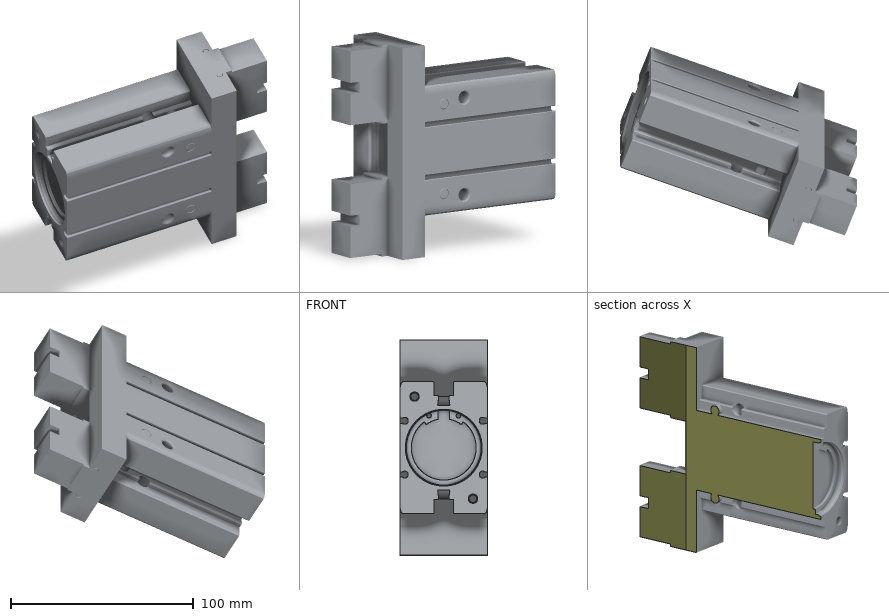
import cadquery as cq
import math


WIDTH = 48.0
BODY_HEIGHT = 72.3
BODY_LENGTH = 86.4
HEAD_HEIGHT = 118.0
HEAD_LENGTH = 15.0
HEAD_BACK = BODY_LENGTH + HEAD_LENGTH
TOTAL_LENGTH = 125.9

SHOULDER_RADIUS = 10.0
SHOULDER_HEIGHT = 4.5
EDGE_CHAMFER = 0.9

MOUTH_WIDTH = 10.6
MOUTH_DEPTH = 7.7
MOUTH_CHAMFER = 0.5
NECK_WIDTH = 5.5
NECK_CHAMFER = 0.5
NECK_DEPTH = 2.5
POCKET_WIDTH = 6.4
SLOT_DEPTH = 13.1

GROOVE_Z = 14.7
GROOVE_DIAMETER = 3.8
GROOVE_DEPTH = 4.5
GROOVE_MOUTH = 2.8
GROOVE_CHAMFER = 0.3

MOUNT_HOLE_DIAMETER = 6.7
MOUNT_HOLE_CHAMFER = 0.6
MOUNT_HOLE_Y = 60.4
MOUNT_HOLE_Z = 27.1
PIN_DIAMETER = 6.0
PIN_Y = 73.8
PIN_Z = 25.0
PIN_CHAMFER = 0.4
PORT_DIAMETER = 4.2
PORT_CHAMFER = 0.44
PORT_DEPTH = 10.1
PORT_X = 16.0
PORT_Z = 28.0

BORE_DIAMETER = 41.0
BORE_CHAMFER = 0.5
BORE_LIP_DEPTH = 1.1
BORE_DEPTH = 5.7
RING_THICKNESS = 1.8
RING_INNER_DIAMETER = 35.5
RING_GAP = 6.2
LUG_INNER_DIAMETER = 31.7
LUG_END_ANGLE = 37.0
LUG_HOLE_DIAMETER = 2.5
LUG_HOLE_X = 8.0
LUG_HOLE_Z = 17.5

JAW_WIDTH = 18.4
CHANNEL_DEPTH = 7.3
BASE_LENGTH = 44.0
BASE_SHOULDER_Y = 104.9
FINGER_INSET = 1.4
NOTCH_SIZE = 6.0
RIDGE_Y = 97.6
RIDGE_DIAMETER = 3.1
GUIDE_DIAMETER = 3.8

CHANNEL_FLOOR = HEAD_BACK - CHANNEL_DEPTH
JAW_Z = (HEAD_HEIGHT - BASE_LENGTH) / 2
SIDES = (-1, 1)


def box_between(x_range, y_range, z_range):
    """Axis-aligned box given by its limits on each axis."""
    sizes = [high - low for low, high in (x_range, y_range, z_range)]
    return cq.Workplane("XY").box(*sizes, centered=False).translate((x_range[0], y_range[0], z_range[0]))


def rod_y(diameter, x, z, y_start, y_end):
    """Cylinder along Y."""
    centre = cq.Vector(x, y_start, z)
    return cq.Workplane(cq.Solid.makeCylinder(diameter / 2, y_end - y_start, centre, cq.Vector(0, 1, 0)))


def rod_x(diameter, y, z, x_start, x_end):
    """Cylinder along X."""
    centre = cq.Vector(x_start, y, z)
    return cq.Workplane(cq.Solid.makeCylinder(diameter / 2, x_end - x_start, centre, cq.Vector(1, 0, 0)))


def rod_z(diameter, x, y, z_start, z_end):
    """Cylinder along Z."""
    centre = cq.Vector(x, y, z_start)
    return cq.Workplane(cq.Solid.makeCylinder(diameter / 2, z_end - z_start, centre))


def entry_cone(diameter, chamfer, point, direction):
    """Cone that chamfers the entry of a hole drilled along the direction."""
    radius = diameter / 2
    return cq.Workplane(
        cq.Solid.makeCone(radius + chamfer, radius, chamfer, cq.Vector(*point), cq.Vector(*direction))
    )


def along_body(profile):
    """Extrude an XZ profile over the length of the body, toward +Y."""
    return profile.extrude(-BODY_LENGTH)


def body_block():
    """Body with a shallow arc and a small chamfer on each long edge."""
    side = WIDTH / 2
    top = BODY_HEIGHT / 2
    arc_start = top - SHOULDER_HEIGHT

    def shoulder_point(z):
        drop = SHOULDER_RADIUS - math.sqrt(SHOULDER_RADIUS**2 - (z - arc_start) ** 2)
        return side - drop, z

    arc_end = shoulder_point(top - EDGE_CHAMFER)
    arc_middle = shoulder_point(top - (SHOULDER_HEIGHT + EDGE_CHAMFER) / 2)
    quarter_outline = (
        cq.Workplane("XZ")
        .moveTo(side, 0)
        .lineTo(side, arc_start)
        .threePointArc(arc_middle, arc_end)
        .lineTo(arc_end[0] - EDGE_CHAMFER, top)
        .lineTo(0, top)
        .lineTo(0, 0)
        .close()
    )
    quarter = along_body(quarter_outline)
    half = quarter.union(quarter.mirror("YZ"))
    return half.union(half.mirror("XY"))


def t_slot():
    """Stepped slot for the +Z face of the body."""
    top = BODY_HEIGHT / 2
    ledge = top - MOUTH_DEPTH
    neck_end = ledge - NECK_DEPTH
    mouth = MOUTH_WIDTH / 2
    neck = NECK_WIDTH / 2
    pocket = POCKET_WIDTH / 2
    right_side = [
        (mouth + MOUTH_CHAMFER, top),
        (mouth, top - MOUTH_CHAMFER),
        (mouth, ledge),
        (neck + NECK_CHAMFER, ledge),
        (neck, ledge - NECK_CHAMFER),
        (neck, neck_end),
        (pocket, neck_end),
        (pocket, top - SLOT_DEPTH),
    ]
    left_side = [(-x, z) for x, z in reversed(right_side)]
    return along_body(cq.Workplane("XZ").polyline(right_side + left_side).close())


def keyhole_grooves():
    """Four round-bottomed grooves with a narrower, chamfered mouth."""
    side = WIDTH / 2
    centre_x = side - GROOVE_DEPTH + GROOVE_DIAMETER / 2
    half_mouth = GROOVE_MOUTH / 2
    flared = half_mouth + GROOVE_CHAMFER
    upper_edge = [(centre_x, half_mouth), (side - GROOVE_CHAMFER, half_mouth), (side, flared)]
    lower_edge = [(x, -z) for x, z in reversed(upper_edge)]
    mouth = along_body(cq.Workplane("XZ").polyline(upper_edge + lower_edge).close())
    groove = mouth.union(rod_y(GROOVE_DIAMETER, centre_x, 0, 0, BODY_LENGTH))

    grooves = cq.Workplane("XY")
    for z in (-GROOVE_Z, GROOVE_Z):
        placed = groove.translate((0, 0, z))
        grooves = grooves.union(placed).union(placed.mirror("YZ"))
    return grooves


def mount_holes():
    """Two chamfered holes across the whole width."""
    holes = cq.Workplane("XY")
    side = WIDTH / 2
    for z in (-MOUNT_HOLE_Z, MOUNT_HOLE_Z):
        holes = holes.union(rod_x(MOUNT_HOLE_DIAMETER, MOUNT_HOLE_Y, z, -side, side))
        for x in (-side, side):
            inward = (-math.copysign(1, x), 0, 0)
            holes = holes.union(
                entry_cone(MOUNT_HOLE_DIAMETER, MOUNT_HOLE_CHAMFER, (x, MOUNT_HOLE_Y, z), inward)
            )
    return holes


def cross_pins():
    """Two pins with chamfered ends that bridge the T-slots, flush with the side faces."""
    side = WIDTH / 2
    lower_pin = rod_x(PIN_DIAMETER, PIN_Y, -PIN_Z, -side, side).edges("%CIRCLE").chamfer(PIN_CHAMFER)
    return lower_pin.union(lower_pin.mirror("XY"))


def pin_seats():
    """Through holes that the cross pins fill."""
    side = WIDTH / 2
    lower_seat = rod_x(PIN_DIAMETER, PIN_Y, -PIN_Z, -side, side)
    return lower_seat.union(lower_seat.mirror("XY"))


def ports():
    """Two chamfered blind holes in diagonally opposite corners of the open end."""
    holes = cq.Workplane("XY")
    for side in SIDES:
        x = side * PORT_X
        z = -side * PORT_Z
        holes = holes.union(rod_y(PORT_DIAMETER, x, z, 0, PORT_DEPTH))
        holes = holes.union(entry_cone(PORT_DIAMETER, PORT_CHAMFER, (x, 0, z), (0, 1, 0)))
    return holes


def retaining_ring():
    """Ring with a gap at the top and a drilled lug on each side of the gap."""
    ring_front = BORE_DEPTH - RING_THICKNESS
    outer = rod_y(BORE_DIAMETER, 0, 0, ring_front, BORE_DEPTH)
    ring = outer.cut(rod_y(RING_INNER_DIAMETER, 0, 0, ring_front, BORE_DEPTH))

    wedge_x = BORE_DIAMETER * math.sin(math.radians(LUG_END_ANGLE))
    wedge_z = BORE_DIAMETER * math.cos(math.radians(LUG_END_ANGLE))
    wedge = (
        cq.Workplane("XZ", origin=(0, ring_front, 0))
        .polyline([(0, 0), (wedge_x, wedge_z), (-wedge_x, wedge_z)])
        .close()
        .extrude(-RING_THICKNESS)
    )
    lugs = outer.intersect(wedge).cut(rod_y(LUG_INNER_DIAMETER, 0, 0, ring_front, BORE_DEPTH))
    ring = ring.union(lugs)

    gap = (-RING_GAP / 2, RING_GAP / 2)
    ring = ring.cut(box_between(gap, (ring_front, BORE_DEPTH), (0, BORE_DIAMETER)))
    for x in (-LUG_HOLE_X, LUG_HOLE_X):
        ring = ring.cut(rod_y(LUG_HOLE_DIAMETER, x, LUG_HOLE_Z, ring_front, BORE_DEPTH))
    return ring


def bore():
    """Bore with a wider lip at its mouth, less the retaining ring that is left standing in it."""
    opening = rod_y(BORE_DIAMETER, 0, 0, 0, BORE_DEPTH)
    opening = opening.union(rod_y(BORE_DIAMETER + 2 * BORE_CHAMFER, 0, 0, 0, BORE_LIP_DEPTH))
    opening = opening.union(entry_cone(BORE_DIAMETER, BORE_CHAMFER, (0, BORE_LIP_DEPTH, 0), (0, 1, 0)))
    return opening.cut(retaining_ring())


def guided_profile(z_range, y_end, ridge_diameter):
    """Straight-sided block with a half-round ridge on each side, on the channel floor."""
    half_width = JAW_WIDTH / 2
    block = box_between((-half_width, half_width), (CHANNEL_FLOOR, y_end), z_range)
    for x in (-half_width, half_width):
        block = block.union(rod_z(ridge_diameter, x, RIDGE_Y, *z_range))
    return block


def make_housing():
    """Slotted body and guide head in one piece."""
    side = WIDTH / 2
    head_z = (-HEAD_HEIGHT / 2, HEAD_HEIGHT / 2)
    head = box_between((-side, side), (BODY_LENGTH, HEAD_BACK), head_z)
    head = head.cut(guided_profile(head_z, HEAD_BACK, GUIDE_DIAMETER))

    slot = t_slot()
    body = body_block().cut(slot).cut(slot.mirror("XY"))
    body = body.cut(pin_seats()).union(cross_pins())
    body = body.cut(keyhole_grooves()).cut(mount_holes()).cut(ports()).cut(bore())
    return body.union(head)


def make_jaw(side):
    """Jaw with a guided base and a notched finger, on the +Z or -Z side."""
    base_half = BASE_LENGTH / 2
    finger_half = base_half - FINGER_INSET
    half_width = JAW_WIDTH / 2
    x_range = (-half_width, half_width)
    base = guided_profile((-base_half, base_half), BASE_SHOULDER_Y, RIDGE_DIAMETER)
    finger = box_between(x_range, (BASE_SHOULDER_Y, TOTAL_LENGTH), (-finger_half, finger_half))
    notch_z = (-NOTCH_SIZE / 2, NOTCH_SIZE / 2)
    notch = box_between(x_range, (TOTAL_LENGTH - NOTCH_SIZE, TOTAL_LENGTH), notch_z)
    return base.union(finger).cut(notch).translate((0, 0, side * JAW_Z))


housing = make_housing()
jaws = [make_jaw(side) for side in SIDES]

result = cq.Compound.makeCompound([housing.val(), *[jaw.val() for jaw in jaws]])